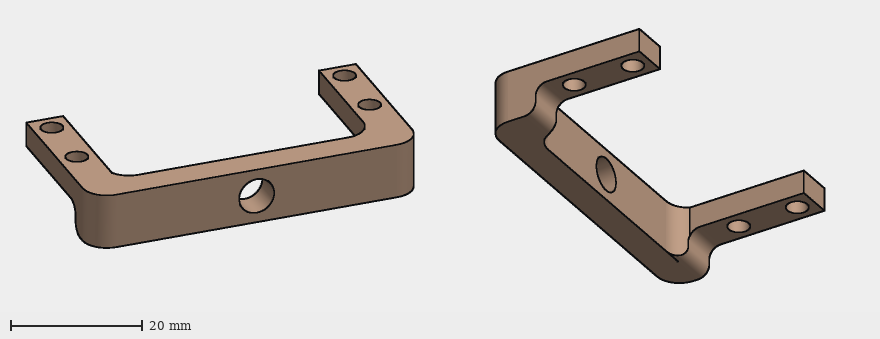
import cadquery as cq
import math

length = 27.5
width = 53.95
height = 9.0

arm_width = 6.05
arm_thickness = 4.05
bar_thickness = 5.0
outer_corner_radius = 4.0
inner_corner_radius = 4.0

front_arc_start_y = -17.45

front_foot_x = 20.6
rear_foot_x = 18.55
step_radius = 2.0

arm_hole_diameter = 3.5
arm_hole_positions = (3.0, 13.5)
bar_hole_diameter = 5.7

half_width = width / 2
arm_inner_y = half_width - arm_width
bar_inner_x = length - bar_thickness
arm_bottom_z = height - arm_thickness


def u_frame():
    """Full-height U with one tangent inner corner and one cut short by the -Y arm."""
    arc_center_x = bar_inner_x - inner_corner_radius
    end_drop = arm_inner_y + front_arc_start_y
    end_offset = math.sqrt(inner_corner_radius**2 - end_drop**2)
    middle_angle = math.atan2(end_drop, end_offset) / 2
    arc_middle = (
        arc_center_x + inner_corner_radius * math.cos(middle_angle),
        front_arc_start_y - inner_corner_radius * math.sin(middle_angle),
    )
    opening = (
        cq.Workplane("XY")
        .moveTo(0, -arm_inner_y)
        .lineTo(arc_center_x + end_offset, -arm_inner_y)
        .threePointArc(arc_middle, (bar_inner_x, front_arc_start_y))
        .lineTo(bar_inner_x, arm_inner_y - inner_corner_radius)
        .radiusArc((arc_center_x, arm_inner_y), -inner_corner_radius)
        .lineTo(0, arm_inner_y)
        .close()
        .extrude(height)
    )
    block = (
        cq.Workplane("XY")
        .box(length, width, height, centered=(False, True, False))
        .edges("|Z and >X")
        .fillet(outer_corner_radius)
    )
    return block.cut(opening)


def arm_relief(foot_x, start_y):
    """Space below one arm, ending in an S-shaped step; spans half the width from start_y."""
    r = step_radius
    return (
        cq.Workplane("XZ", origin=(0, start_y + half_width, 0))
        .lineTo(foot_x + r, 0)
        .radiusArc((foot_x, r), r)
        .lineTo(foot_x, arm_bottom_z - r)
        .radiusArc((foot_x - r, arm_bottom_z), -r)
        .lineTo(0, arm_bottom_z)
        .close()
        .extrude(half_width)
    )


def bar_guard():
    """Straight middle of the bar, which the reliefs leave at full height."""
    return cq.Workplane("XY").box(
        bar_thickness, 2 * arm_inner_y, height, centered=(False, True, False)
    ).translate((bar_inner_x, 0, 0))


def arm_holes():
    arm_center_y = half_width - arm_width / 2
    centers = [(x, side * arm_center_y) for x in arm_hole_positions for side in (-1, 1)]
    return cq.Workplane("XY").pushPoints(centers).circle(arm_hole_diameter / 2).extrude(height)


def bar_hole():
    return (
        cq.Workplane("YZ", origin=(bar_inner_x, 0, height / 2))
        .circle(bar_hole_diameter / 2)
        .extrude(bar_thickness)
    )


reliefs = arm_relief(front_foot_x, -half_width).union(arm_relief(rear_foot_x, 0))
reliefs = reliefs.cut(bar_guard())
result = u_frame().cut(reliefs).cut(arm_holes()).cut(bar_hole())